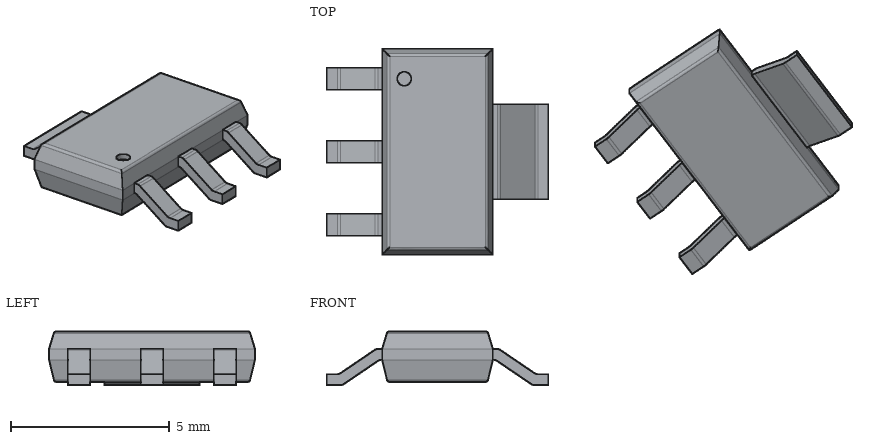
import cadquery as cq

span = 7.0
body_width = 3.5
body_length = 6.5
body_top = 1.7
standoff = 0.1

metal_thickness = 0.35
band_bottom = 0.8
band_top = band_bottom + metal_thickness
taper_inset = 0.17
edge_radius = 0.1

mark_diameter = 0.44
mark_x = -1.05
mark_depth = 0.18

pin_count = 3
pin_pitch = 2.3
pin_width = 0.7
tab_width = 3.01
foot_length = 0.39
shoulder_length = 0.18
bend_shift = 0.105
bend_radius = 0.175


def make_tapered_half(start_z, end_z):
    """Frustum from the band outline at start_z to the inset outline at end_z."""
    return (
        cq.Workplane("XY", origin=(0, 0, start_z))
        .rect(body_width, body_length)
        .workplane(offset=end_z - start_z)
        .rect(body_width - 2 * taper_inset, body_length - 2 * taper_inset)
        .loft(ruled=True)
    )


def make_housing():
    band = cq.Workplane("XY", origin=(0, 0, band_bottom)).box(
        body_width, body_length, metal_thickness, centered=(True, True, False)
    )
    upper_half = make_tapered_half(band_top, body_top)
    lower_half = make_tapered_half(band_bottom, standoff)
    housing = band.union(upper_half).union(lower_half)
    housing = housing.faces(">Z or <Z").edges().fillet(edge_radius)
    mark = (
        cq.Workplane("XY", origin=(mark_x, pin_pitch, body_top))
        .circle(mark_diameter / 2)
        .extrude(-mark_depth)
    )
    return housing.cut(mark)


def make_lead(width, y_center):
    """Gull-wing lead on the -X side, ending flush against the housing band."""
    toe_x = -span / 2
    wall_x = -body_width / 2
    foot_bend_x = toe_x + foot_length
    shoulder_bend_x = wall_x - shoulder_length
    profile = [
        (toe_x, 0),
        (foot_bend_x + bend_shift, 0),
        (shoulder_bend_x + bend_shift, band_bottom),
        (wall_x, band_bottom),
        (wall_x, band_top),
        (shoulder_bend_x, band_top),
        (foot_bend_x, metal_thickness),
        (toe_x, metal_thickness),
    ]
    blank = (
        cq.Workplane("XZ", origin=(0, y_center, 0))
        .polyline(profile)
        .close()
        .extrude(width / 2, both=True)
    )
    bend_edges = blank.edges("|Y").edges("(not <X) and (not >X)")
    return bend_edges.fillet(bend_radius)


housing = make_housing()

pins = []
for index in range(pin_count):
    pin_y = (index - (pin_count - 1) / 2) * pin_pitch
    pins.append(make_lead(pin_width, pin_y).val())

tab = make_lead(tab_width, 0).rotate((0, 0, 0), (0, 0, 1), 180)

result = cq.Compound.makeCompound([housing.val(), *pins, tab.val()])